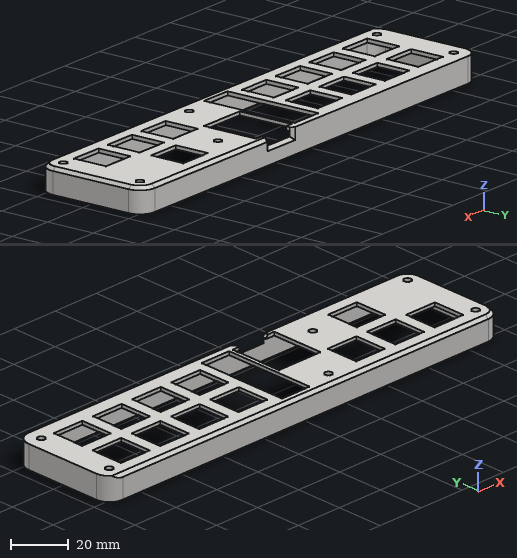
import cadquery as cq

LENGTH = 191.0
WIDTH = 46.0
HEIGHT = 10.1
CORNER_RADIUS = 6.5
WALL = 2.0
PLATE = 1.5
BEVEL = 1.3

KEY_SIZE = 14.0
KEY_PITCH = 19.1
LEFT_COLUMNS = 4
RIGHT_COLUMNS = 3
KEY_OUTER_X = LEFT_COLUMNS * KEY_PITCH
KEY_ROW_Y = KEY_PITCH / 2

OPENING_BACK_Y = 20.0
SLOT_X = (-7.8, 5.5)
SLOT_FRONT_Y = -19.5
WINDOW_X = (7.3, 27.5)
WINDOW_FRONT_Y = -2.7

NOTCH_X = (10.5, 23.5)
NOTCH_DEPTH = 3.5
NOTCH_FLARE = 1.3
NOTCH_CORNER_WIDTH = 1.0
NOTCH_CORNER_DEPTH = 1.5

SCREW_DIAMETER = 3.0
SCREW_INSET = 6.3
SCREW_X = LENGTH / 2 - SCREW_INSET
SCREW_Y = WIDTH / 2 - SCREW_INSET
INNER_SCREWS = [(37.5, 11.0), (17.5, -SCREW_Y)]

BACK_Y = WIDTH / 2
FRONT_Y = -WIDTH / 2
NOTCH_CENTER_X = sum(NOTCH_X) / 2


def box_between(x_range, y_range, z_range):
    """Box spanning the given ranges."""
    return (
        cq.Workplane("XY")
        .box(
            x_range[1] - x_range[0],
            y_range[1] - y_range[0],
            z_range[1] - z_range[0],
            centered=False,
        )
        .translate((x_range[0], y_range[0], z_range[0]))
    )


def rounded_block(inset, height):
    """Block following the outline, moved inwards by the inset."""
    return (
        cq.Workplane("XY")
        .rect(LENGTH - 2 * inset, WIDTH - 2 * inset)
        .extrude(height)
        .edges("|Z")
        .fillet(CORNER_RADIUS - inset)
    )


def front_bevel():
    """Straight wedge that takes off the top front edge."""
    return (
        cq.Workplane("YZ")
        .polyline([(FRONT_Y, HEIGHT), (FRONT_Y + BEVEL, HEIGHT), (FRONT_Y, HEIGHT - BEVEL)])
        .close()
        .extrude(LENGTH / 2, both=True)
    )


def outer_body():
    """Right part bevelled all round, left part bevelled only along the front."""
    block = rounded_block(0, HEIGHT)
    left_zone = box_between((-LENGTH / 2, NOTCH_CENTER_X), (FRONT_Y, BACK_Y), (0, HEIGHT))
    left = block.cut(front_bevel()).intersect(left_zone)
    right = block.faces(">Z").chamfer(BEVEL).cut(left_zone)
    return left.union(right)


def key_openings():
    """Centres of all key openings."""
    columns = [KEY_OUTER_X - i * KEY_PITCH for i in range(LEFT_COLUMNS)]
    left = [(-x, y) for x in columns for y in (-KEY_ROW_Y, KEY_ROW_Y)]
    right = [(x, -KEY_ROW_Y) for x in columns[:RIGHT_COLUMNS]]
    single_upper_key = [(columns[1], KEY_ROW_Y)]
    return left + right + single_upper_key


def notch_outline(plane, flare):
    """Notch cross-section on the given plane, widened by the flare."""
    left = NOTCH_X[0] - flare
    right = NOTCH_X[1] + flare
    floor_z = HEIGHT - NOTCH_DEPTH - flare
    corners = [
        (left, HEIGHT),
        (left, floor_z),
        (right, floor_z),
        (right, HEIGHT - NOTCH_CORNER_DEPTH),
        (right + NOTCH_CORNER_WIDTH, HEIGHT),
    ]
    return plane.polyline(corners).close()


def back_notch():
    """Notch open at the top, with its outer rim flared sideways and downwards."""
    back_plane = cq.Workplane("XZ", origin=(0, BACK_Y, 0))
    passage = notch_outline(back_plane, 0).extrude(BACK_Y - OPENING_BACK_Y)
    rim = notch_outline(back_plane, NOTCH_FLARE)
    flare = notch_outline(rim.workplane(offset=NOTCH_FLARE, origin=(0, BACK_Y, 0)), 0).loft(ruled=True)
    return passage.union(flare)


cavity = rounded_block(WALL, HEIGHT - PLATE)
slot = box_between(SLOT_X, (SLOT_FRONT_Y, OPENING_BACK_Y), (0, HEIGHT))
window = box_between(WINDOW_X, (WINDOW_FRONT_Y, OPENING_BACK_Y), (0, HEIGHT))
keys = cq.Workplane("XY").pushPoints(key_openings()).rect(KEY_SIZE, KEY_SIZE).extrude(HEIGHT)
corner_screws = [(x, y) for x in (-SCREW_X, SCREW_X) for y in (-SCREW_Y, SCREW_Y)]
screws = (
    cq.Workplane("XY")
    .pushPoints(corner_screws + INNER_SCREWS)
    .circle(SCREW_DIAMETER / 2)
    .extrude(HEIGHT)
)

result = outer_body()
for hollow in (cavity, slot, window, keys, screws, back_notch()):
    result = result.cut(hollow)